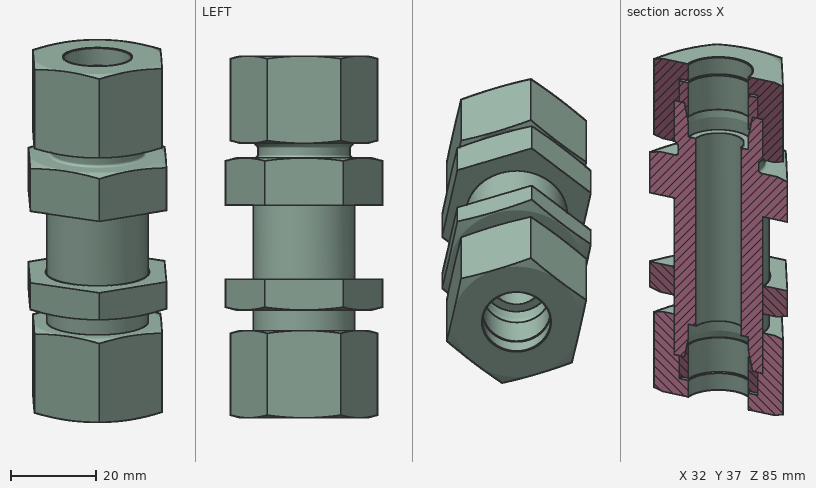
import cadquery as cq
import math


total_length = 85.0
union_nut_flats = 30.0
collar_corners = 37.0
collar_flats = collar_corners * math.cos(math.pi / 6)
collar_face_diameter = 31.4
bevel_slope = math.tan(math.radians(15))

union_nut_length = 20.5
lock_nut_bottom = 25.25
lock_nut_top = 32.55
lock_nut_bore_chamfer = 0.25
collar_bottom = 50.0
collar_top = 61.1

thread_diameter = 24.0
bore_diameter = 12.0
tube_diameter = 16.0
undercut_diameter = 21.7
undercut_fillet = 0.7
undercut_length = 2.7
end_inset = 10.0
socket_depth = 8.5
cone_mouth_diameter = 18.2
cone_slope = math.tan(math.radians(12))

bore_chamfer = 0.2
shoulder_inset = 4.3
ring_clearance = 0.4
ring_diameter = 21.0
ring_nose_length = 3.4

body_bottom = end_inset
body_top = total_length - end_inset
shoulder_height = total_length - shoulder_inset
ring_top = shoulder_height - ring_clearance
mid_height = total_length / 2


def cylinder(diameter, bottom, top):
    return cq.Workplane("XY").workplane(offset=bottom).circle(diameter / 2).extrude(top - bottom)


def cone(bottom_diameter, top_diameter, bottom, top):
    profile = [(0, bottom), (bottom_diameter / 2, bottom), (top_diameter / 2, top), (0, top)]
    return cq.Workplane("XZ").polyline(profile).close().revolve(360, (0, 0, 0), (0, 1, 0))


def hexagon(flats, bottom, top):
    """Hexagonal prism with two flats facing +X and -X."""
    corner_diameter = flats / math.cos(math.pi / 6)
    prism = cq.Workplane("XY").workplane(offset=bottom).polygon(6, corner_diameter).extrude(top - bottom)
    return prism.rotate((0, 0, 0), (0, 0, 1), 30)


def bevel_top(prism, face_diameter, bottom, top):
    """Bevel the top corners of a hexagon, leaving a round face of the given diameter."""
    base_diameter = face_diameter + 2 * (top - bottom) / bevel_slope
    return prism.intersect(cone(base_diameter, face_diameter, bottom, top))


def bevel_bottom(prism, face_diameter, bottom, top):
    """Bevel the bottom corners of a hexagon in the same way."""
    base_diameter = face_diameter + 2 * (top - bottom) / bevel_slope
    return prism.intersect(cone(face_diameter, base_diameter, bottom, top))


def flip(shape):
    """Turn a shape end for end about the middle of the fitting."""
    return shape.rotate((0, 0, mid_height), (1, 0, mid_height), 180)


def make_tube_socket():
    """Tube socket and the tapered mouth for the cutting ring, cut into the top end of the body."""
    taper_length = (cone_mouth_diameter - tube_diameter) / 2 / cone_slope
    socket = cylinder(tube_diameter, body_top - socket_depth, body_top)
    mouth = cone(tube_diameter, cone_mouth_diameter, body_top - taper_length, body_top)
    return socket.union(mouth)


def make_undercut():
    """Ring-shaped cutter for the thread undercut: filleted root and a 45 degree runout on top."""
    root = undercut_diameter / 2
    outer = thread_diameter / 2
    straight_bottom = collar_top + undercut_fillet
    runout_start = collar_top + undercut_length
    fillet_leg = undercut_fillet * math.sqrt(0.5)
    runout_radius = root + undercut_fillet - fillet_leg
    straight_top = runout_start - fillet_leg
    lower_middle = (runout_radius, straight_bottom - fillet_leg)
    upper_middle = (
        root + undercut_fillet * (1 - math.cos(math.pi / 8)),
        straight_top + undercut_fillet * math.sin(math.pi / 8),
    )
    profile = (
        cq.Workplane("XZ")
        .moveTo(outer, collar_top)
        .lineTo(root + undercut_fillet, collar_top)
        .threePointArc(lower_middle, (root, straight_bottom))
        .lineTo(root, straight_top)
        .threePointArc(upper_middle, (runout_radius, runout_start))
        .lineTo(outer, runout_start + outer - runout_radius)
        .close()
    )
    return profile.revolve(360, (0, 0, 0), (0, 1, 0))


def make_body():
    collar = hexagon(collar_flats, collar_bottom, collar_top)
    collar = bevel_top(collar, collar_face_diameter, collar_bottom, collar_top)
    socket = make_tube_socket()
    return (
        cylinder(thread_diameter, body_bottom, body_top)
        .union(collar)
        .cut(make_undercut())
        .cut(cylinder(bore_diameter, body_bottom, body_top))
        .cut(socket)
        .cut(flip(socket))
    )


def make_lock_nut():
    """Lock nut with its beveled face turned down."""
    nut = hexagon(collar_flats, lock_nut_bottom, lock_nut_top)
    nut = bevel_bottom(nut, collar_face_diameter, lock_nut_bottom, lock_nut_top)
    rim_diameter = thread_diameter + 2 * lock_nut_bore_chamfer
    return (
        nut.cut(cylinder(thread_diameter, lock_nut_bottom, lock_nut_top))
        .cut(cone(thread_diameter, rim_diameter, lock_nut_top - lock_nut_bore_chamfer, lock_nut_top))
    )


def make_union_nut():
    """Union nut at the top end, beveled on both faces, its bore stepped around the cutting ring."""
    bottom = total_length - union_nut_length
    nut = hexagon(union_nut_flats, bottom, total_length)
    nut = bevel_top(nut, union_nut_flats, bottom, total_length)
    nut = bevel_bottom(nut, union_nut_flats, bottom, total_length)
    rim_diameter = tube_diameter + 2 * bore_chamfer
    return (
        nut.cut(cylinder(thread_diameter, bottom, body_top))
        .cut(cylinder(ring_diameter, body_top, shoulder_height))
        .cut(cylinder(tube_diameter, bottom, total_length))
        .cut(cone(tube_diameter, rim_diameter, total_length - bore_chamfer, total_length))
    )


def make_cutting_ring():
    """Cutting ring at the top end, its tapered nose in the mouth of the body."""
    nose_bottom = body_top - ring_nose_length
    nose_diameter = cone_mouth_diameter - 2 * ring_nose_length * cone_slope
    head = cylinder(ring_diameter, body_top, ring_top)
    nose = cone(nose_diameter, cone_mouth_diameter, nose_bottom, body_top)
    return head.union(nose).cut(cylinder(tube_diameter, nose_bottom, ring_top))


body = make_body()
lock_nut = make_lock_nut()
end_parts = []
for part in (make_union_nut(), make_cutting_ring()):
    end_parts.append(part.val())
    end_parts.append(flip(part).val())

result = cq.Compound.makeCompound([body.val(), lock_nut.val(), *end_parts])